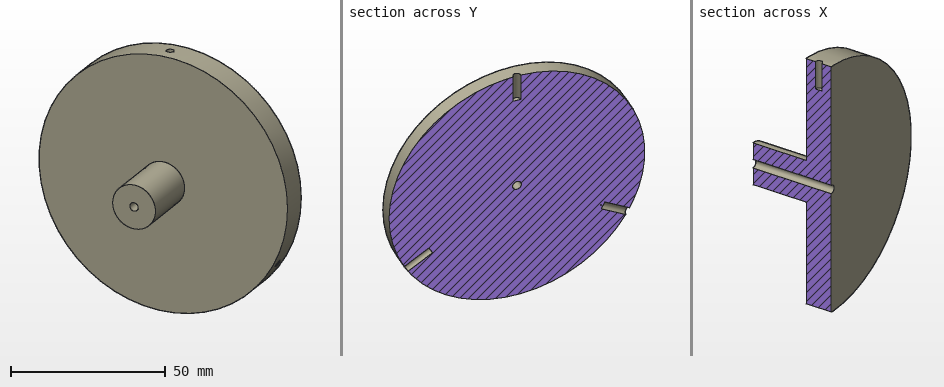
import cadquery as cq

disc_diameter = 90.0
disc_thickness = 10.0
total_length = 31.0
shaft_diameter = 15.5
bore_diameter = 3.0
radial_hole_diameter = 2.5
radial_hole_depth = 10.0
radial_hole_count = 3

disc_radius = disc_diameter / 2
shaft_length = total_length - disc_thickness


def cylinder_toward_front(diameter, start_y, length):
    """Cylinder on the Y axis, running from start_y toward -Y."""
    return cq.Workplane("XZ", origin=(0, start_y, 0)).circle(diameter / 2).extrude(length)


def radial_hole(angle):
    """Blind hole in the rim at mid thickness, turned about Y from the top (+Z)."""
    cutter = (
        cq.Workplane("XY", origin=(0, -disc_thickness / 2, disc_radius - radial_hole_depth))
        .circle(radial_hole_diameter / 2)
        .extrude(2 * radial_hole_depth)
    )
    return cutter.rotate((0, 0, 0), (0, 1, 0), angle)


disc = cylinder_toward_front(disc_diameter, 0, disc_thickness)
shaft = cylinder_toward_front(shaft_diameter, -disc_thickness, shaft_length)
bore = cylinder_toward_front(bore_diameter, 0, total_length)

result = disc.union(shaft).cut(bore)
for index in range(radial_hole_count):
    result = result.cut(radial_hole(index * 360 / radial_hole_count))